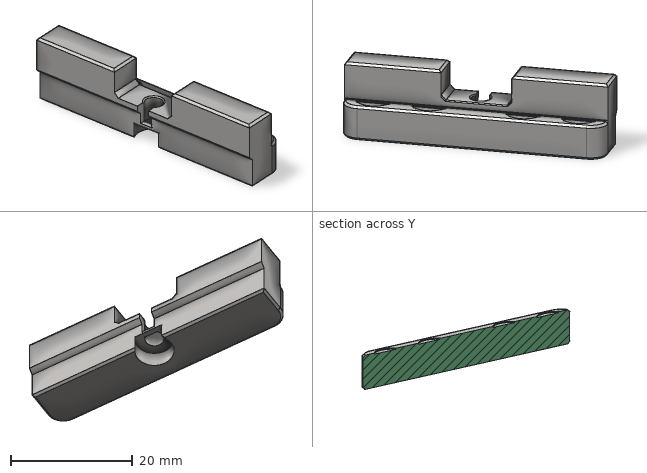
import cadquery as cq


length = 45.0
depth = 8.9
height = 12.35
edge_chamfer = 0.4

block_length = 44.95
block_depth = 5.8
front_setback = 0.85
setback_top = 6.2
foot_reach = 0.15
foot_back = block_depth + foot_reach
foot_top = 6.1

ledge_height = 5.95
ledge_depth = depth - foot_back
ledge_end_length = 0.05
corner_radius = ledge_depth - ledge_end_length

notch_width = 12.05
notch_floor = 7.2
notch_ramp = 0.8
notch_chamfer = 0.2

hole_y = 2.85
hole_diameter = 3.2
hole_chamfer_depth = 0.2
hole_chamfer_reach = 0.25
slot_width = 2.35
slot_floor = 3.5
head_diameter = 6.5
head_depth = 3.0

seat_diameter = 6.2
seat_y = 5.0
seat_depth = 0.2
seat_wall = 0.2
inner_seat_x = 8.0
outer_seat_x = 17.5


def make_block():
    """Upright block with the stepped front face, rear foot and central notch."""
    side_outline = [
        (front_setback, 0),
        (foot_back, 0),
        (foot_back, foot_top),
        (block_depth, foot_top),
        (block_depth, height),
        (0, height),
        (0, setback_top),
        (front_setback, setback_top - front_setback),
    ]
    block = (
        cq.Workplane("YZ").polyline(side_outline).close()
        .extrude(block_length / 2, both=True)
    )
    half = notch_width / 2
    notch_outline = [
        (-half, height),
        (-half, notch_floor + notch_ramp),
        (-half + notch_ramp, notch_floor),
        (half - notch_ramp, notch_floor),
        (half, notch_floor + notch_ramp),
        (half, height),
    ]
    notch = cq.Workplane("XZ").polyline(notch_outline).close().extrude(-block_depth)
    block = block.cut(notch)
    block = block.faces(">Z").edges().chamfer(edge_chamfer)
    block = block.faces("<Z").edges("not >Y").chamfer(edge_chamfer)
    return block.edges(notch_back_edges()).chamfer(notch_chamfer)


def notch_back_edges():
    """Box around the rear edges of the notch floor and its two ramps."""
    margin = 0.05
    half = notch_width / 2 + margin
    return cq.selectors.BoxSelector(
        (-half, block_depth - margin, notch_floor - margin),
        (half, block_depth + margin, notch_floor + notch_ramp),
    )


def make_ledge():
    """Rear ledge with round corners, chamfered rims and shallow magnet seats."""
    ledge = (
        cq.Workplane("XY")
        .box(length, ledge_depth, ledge_height, centered=(True, False, False))
        .translate((0, foot_back, 0))
        .edges("|Z and >Y").fillet(corner_radius)
        .edges(">Z or <Z").edges("not <Y").chamfer(edge_chamfer)
    )
    seat_x = [-outer_seat_x, -inner_seat_x, inner_seat_x, outer_seat_x]
    seats = (
        cq.Workplane("XY", origin=(0, 0, ledge_height - seat_depth))
        .pushPoints([(x, seat_y) for x in seat_x])
        .circle(seat_diameter / 2)
        .extrude(seat_depth)
    )
    wall = (
        cq.Workplane("XY")
        .box(length, foot_back + seat_wall, ledge_height, centered=(True, False, False))
    )
    return ledge.cut(seats.cut(wall))


def make_screw_cut():
    """Screw hole with chamfered mouth, open front slot and head recess below."""
    hole_plane = cq.Workplane("XY", origin=(0, hole_y, 0))
    hole = hole_plane.circle(hole_diameter / 2).extrude(notch_floor)
    mouth_radius = hole_diameter / 2 + hole_chamfer_reach
    mouth = cq.Workplane("XY").add(
        cq.Solid.makeCone(
            hole_diameter / 2, mouth_radius, hole_chamfer_depth,
            pnt=cq.Vector(0, hole_y, notch_floor - hole_chamfer_depth),
        )
    )
    slot = (
        cq.Workplane("XY", origin=(0, 0, slot_floor))
        .rect(slot_width, 2 * hole_y)
        .extrude(notch_floor - slot_floor)
    )
    half_slot = slot_width / 2
    web_back = hole_y - ((hole_diameter / 2) ** 2 - half_slot ** 2) ** 0.5
    web = (
        cq.Workplane("XY", origin=(0, 0, head_depth))
        .box(slot_width, web_back, slot_floor - head_depth, centered=(True, False, False))
    )
    head = hole_plane.circle(head_diameter / 2).extrude(head_depth)
    return hole.cut(web).union(mouth).union(slot).union(head)


result = make_block().union(make_ledge()).cut(make_screw_cut())